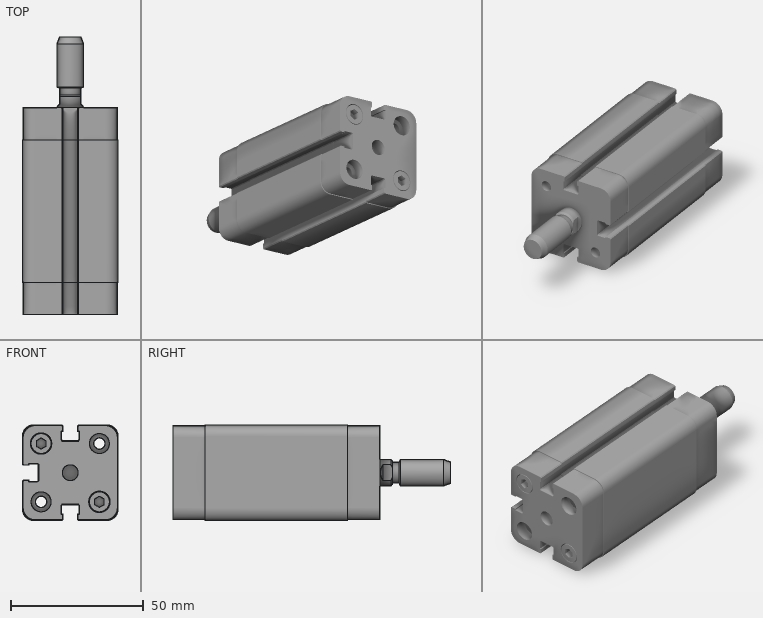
import cadquery as cq


TOTAL_LENGTH = 104.5
BODY_WIDTH = 36.1
ROD_LENGTH = 26.6

CAP_STEP = 0.3
CAP_WIDTH = BODY_WIDTH - 2 * CAP_STEP
CAP_LENGTH = 12.1
HOUSING_LENGTH = TOTAL_LENGTH - ROD_LENGTH
BARREL_LENGTH = HOUSING_LENGTH - 2 * CAP_LENGTH
CORNER_RADIUS = 4.4

SLOT_ANGLES = (0, 90, 180)
SLOT_MOUTH_WIDTH = 5.6
SLOT_CHANNEL_WIDTH = 6.7
SLOT_DEPTH = 6.0
SLOT_LEDGE_HEIGHT = 15.6
SLOT_EDGE_CHAMFER = 0.37
SLOT_FLOOR_CHAMFER = 0.3

FASTENER_OFFSET = 11.0
COUNTERBORE_DEPTH = 4.5
MOUNT_HOLE_DIAMETER = 4.2
MOUNT_COUNTERBORE_DIAMETER = 7.5
SCREW_HEAD_DIAMETER = 7.5
SCREW_COUNTERBORE_DIAMETER = 8.0
SOCKET_CORNER_DIAMETER = 4.2
SOCKET_DEPTH = 3.1
CENTRE_HOLE_DIAMETER = 6.0
CENTRE_HOLE_DEPTH = 6.3

ROD_DIAMETER = 10.0
TIP_DIAMETER = 8.0
TIP_TAPER_LENGTH = 2.6
THREAD_LENGTH = 18.9
NECK_DIAMETER = 7.9
THREAD_END_CHAMFER = 0.4
SHOULDER_LENGTH = 4.8
SHOULDER_CHAMFER = 0.6
FLAT_WIDTH = 8.0
FLAT_START = 1.3


def along_y(start):
    """Workplane at y = start whose local axes are X and Z and whose extrusions run towards +Y."""
    return cq.Workplane(cq.Plane(origin=(0, start, 0), xDir=(1, 0, 0), normal=(0, 1, 0)))


def slot_cutter(width, start, length):
    """T-slot for the top side (+Z), with chamfered outer edges and floor corners."""
    outer = width / 2
    floor = outer - SLOT_DEPTH
    mouth = SLOT_MOUTH_WIDTH / 2
    channel = SLOT_CHANNEL_WIDTH / 2
    right_half = [
        (channel - SLOT_FLOOR_CHAMFER, floor),
        (channel, floor + SLOT_FLOOR_CHAMFER),
        (channel, SLOT_LEDGE_HEIGHT),
        (mouth, SLOT_LEDGE_HEIGHT),
        (mouth, outer - SLOT_EDGE_CHAMFER),
        (mouth + SLOT_EDGE_CHAMFER, outer),
    ]
    left_half = [(-x, z) for x, z in reversed(right_half)]
    outline = [(x, -z) for x, z in right_half + left_half]
    return along_y(start).polyline(outline).close().extrude(length)


def housing_section(width, start, length):
    """Rounded square length of housing with its three T-slots."""
    section = along_y(start).rect(width, width).extrude(length)
    section = section.edges("|Y").fillet(CORNER_RADIUS)
    slot = slot_cutter(width, start, length)
    for angle in SLOT_ANGLES:
        section = section.cut(slot.rotate((0, 0, 0), (0, 1, 0), -angle))
    return section


def cylinder(x, z, diameter, start, length):
    """Cylinder along Y, centred at the given x and z."""
    return along_y(start).center(x, -z).circle(diameter / 2).extrude(length)


def cut_mount_hole(housing, x, z):
    """Counterbored hole through the whole housing."""
    housing = housing.cut(cylinder(x, z, MOUNT_HOLE_DIAMETER, 0, HOUSING_LENGTH))
    return housing.cut(cylinder(x, z, MOUNT_COUNTERBORE_DIAMETER, 0, COUNTERBORE_DEPTH))


def add_socket_screw(housing, x, z):
    """Flush hexagon socket screw head standing in a slightly wider counterbore."""
    head = cylinder(x, z, SCREW_HEAD_DIAMETER, 0, COUNTERBORE_DEPTH)
    gap = cylinder(x, z, SCREW_COUNTERBORE_DIAMETER, 0, COUNTERBORE_DEPTH).cut(head)
    socket = along_y(0).center(x, -z).transformed(rotate=(0, 0, 90))
    socket = socket.polygon(6, SOCKET_CORNER_DIAMETER).extrude(SOCKET_DEPTH)
    return housing.cut(gap).cut(socket)


def piston_rod():
    """Turned rod with threaded end, undercut neck and two wrench flats."""
    tip = TOTAL_LENGTH
    thread_end = tip - THREAD_LENGTH
    shoulder = HOUSING_LENGTH + SHOULDER_LENGTH
    root = HOUSING_LENGTH - CAP_LENGTH
    radius = ROD_DIAMETER / 2
    neck = NECK_DIAMETER / 2
    profile = [
        (0, root),
        (radius, root),
        (radius, shoulder - SHOULDER_CHAMFER),
        (radius - SHOULDER_CHAMFER, shoulder),
        (neck, shoulder),
        (neck, thread_end - THREAD_END_CHAMFER),
        (radius, thread_end),
        (radius, tip - TIP_TAPER_LENGTH),
        (TIP_DIAMETER / 2, tip),
        (0, tip),
    ]
    rod = cq.Workplane("XY").polyline(profile).close().revolve(360, (0, 0, 0), (0, 1, 0))

    flat = FLAT_WIDTH / 2
    flat_start = HOUSING_LENGTH + FLAT_START
    flat_depth = radius - flat
    flat_cutter = (
        cq.Workplane("XY")
        .polyline([
            (flat, flat_start),
            (radius, flat_start - flat_depth),
            (radius, shoulder),
            (flat, shoulder),
        ])
        .close()
        .extrude(radius, both=True)
    )
    return rod.cut(flat_cutter).cut(flat_cutter.mirror("YZ"))


rear_cap = housing_section(CAP_WIDTH, 0, CAP_LENGTH)
barrel = housing_section(BODY_WIDTH, CAP_LENGTH, BARREL_LENGTH)
front_cap = housing_section(CAP_WIDTH, CAP_LENGTH + BARREL_LENGTH, CAP_LENGTH)

result = barrel.union(rear_cap).union(front_cap).union(piston_rod())
result = result.cut(cylinder(0, 0, CENTRE_HOLE_DIAMETER, 0, CENTRE_HOLE_DEPTH))
for side in (1, -1):
    result = cut_mount_hole(result, side * FASTENER_OFFSET, side * FASTENER_OFFSET)
    result = add_socket_screw(result, side * FASTENER_OFFSET, -side * FASTENER_OFFSET)